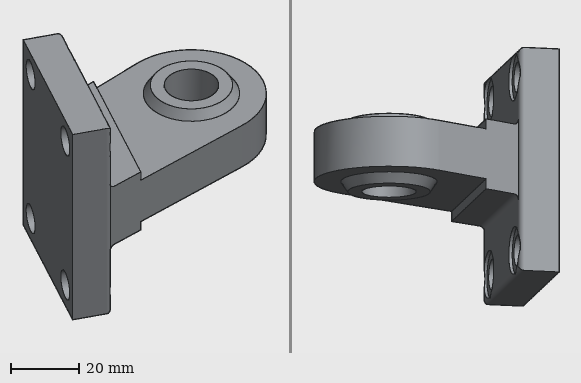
import cadquery as cq
import math

PLATE_WIDTH = 50.0
PLATE_HEIGHT = 67.0
PLATE_THICKNESS = 12.0
EDGE_RADIUS = 1.5

BOLT_DIAMETER = 9.0
BOLT_EDGE_DISTANCE = 7.5
SPOTFACE_DIAMETER = 14.0
SPOTFACE_DEPTH = 1.0

EYE_RADIUS = 22.0
EYE_OVERHANG = 16.5
EYE_X = -PLATE_WIDTH / 2 - EYE_OVERHANG + EYE_RADIUS
EYE_Y = 50.0
BORE_DIAMETER = 16.0
LUG_THICKNESS = 15.0
ROOT_THICKNESS = 21.0
ROOT_END_Y = 23.0
ROOT_HALF_WIDTH = PLATE_WIDTH / 2 - EDGE_RADIUS

BOSS_BASE_DIAMETER = 28.3
BOSS_TOP_DIAMETER = 24.2
BOSS_HEIGHT = (ROOT_THICKNESS - LUG_THICKNESS) / 2


def eye_tangent_point(x, y, side):
    """Point where a line from (x, y) touches the eye; side is -1 for -X and +1 for +X."""
    to_start_x = x - EYE_X
    to_start_y = y - EYE_Y
    distance = math.hypot(to_start_x, to_start_y)
    angle = math.atan2(to_start_y, to_start_x) + side * math.acos(EYE_RADIUS / distance)
    return (EYE_X + EYE_RADIUS * math.cos(angle), EYE_Y + EYE_RADIUS * math.sin(angle))


def make_plate():
    plate = cq.Workplane("XY").box(
        PLATE_WIDTH, PLATE_THICKNESS, PLATE_HEIGHT, centered=(True, False, True)
    )
    return plate.faces(">Y").edges().fillet(EDGE_RADIUS)


def lug_prism(thickness):
    """Lug outline, tangent to the eye on both sides, extruded symmetrically about z = 0."""
    left_root = (-ROOT_HALF_WIDTH, PLATE_THICKNESS)
    right_root = (ROOT_HALF_WIDTH, PLATE_THICKNESS)
    return (
        cq.Workplane("XY")
        .moveTo(*left_root)
        .lineTo(*right_root)
        .lineTo(*eye_tangent_point(*right_root, 1))
        .threePointArc((EYE_X, EYE_Y + EYE_RADIUS), eye_tangent_point(*left_root, -1))
        .close()
        .extrude(thickness / 2, both=True)
    )


def make_root():
    """Thick part of the lug next to the plate, flared into the plate by concave fillets."""
    half = ROOT_THICKNESS / 2
    flare_half = half + EDGE_RADIUS
    flare_end_y = PLATE_THICKNESS + EDGE_RADIUS
    arc_inset = EDGE_RADIUS * (1 - math.sqrt(0.5))
    profile = (
        cq.Workplane("YZ")
        .moveTo(PLATE_THICKNESS, -flare_half)
        .threePointArc((PLATE_THICKNESS + arc_inset, -half - arc_inset), (flare_end_y, -half))
        .lineTo(ROOT_END_Y, -half)
        .lineTo(ROOT_END_Y, half)
        .lineTo(flare_end_y, half)
        .threePointArc((PLATE_THICKNESS + arc_inset, half + arc_inset), (PLATE_THICKNESS, flare_half))
        .close()
        .extrude(PLATE_WIDTH, both=True)
    )
    return lug_prism(2 * flare_half).intersect(profile)


def make_boss():
    """Cone on the +Z face of the lug."""
    return (
        cq.Workplane("XY", origin=(EYE_X, EYE_Y, LUG_THICKNESS / 2))
        .circle(BOSS_BASE_DIAMETER / 2)
        .workplane(offset=BOSS_HEIGHT)
        .circle(BOSS_TOP_DIAMETER / 2)
        .loft(ruled=True)
    )


def cut_bolt_holes(body):
    hole_x = PLATE_WIDTH / 2 - BOLT_EDGE_DISTANCE
    hole_z = PLATE_HEIGHT / 2 - BOLT_EDGE_DISTANCE
    direction = cq.Vector(0, 1, 0)
    for x in (-hole_x, hole_x):
        for z in (-hole_z, hole_z):
            hole = cq.Solid.makeCylinder(
                BOLT_DIAMETER / 2, PLATE_THICKNESS, cq.Vector(x, 0, z), direction
            )
            spotface = cq.Solid.makeCylinder(
                SPOTFACE_DIAMETER / 2,
                SPOTFACE_DEPTH,
                cq.Vector(x, PLATE_THICKNESS - SPOTFACE_DEPTH, z),
                direction,
            )
            body = body.cut(cq.Workplane(hole)).cut(cq.Workplane(spotface))
    return body


def cut_bore(body):
    bore = (
        cq.Workplane("XY")
        .center(EYE_X, EYE_Y)
        .circle(BORE_DIAMETER / 2)
        .extrude(ROOT_THICKNESS, both=True)
    )
    return body.cut(bore)


boss = make_boss()
bracket = make_plate().union(lug_prism(LUG_THICKNESS)).union(make_root())
bracket = bracket.union(boss).union(boss.mirror("XY"))
result = cut_bore(cut_bolt_holes(bracket))